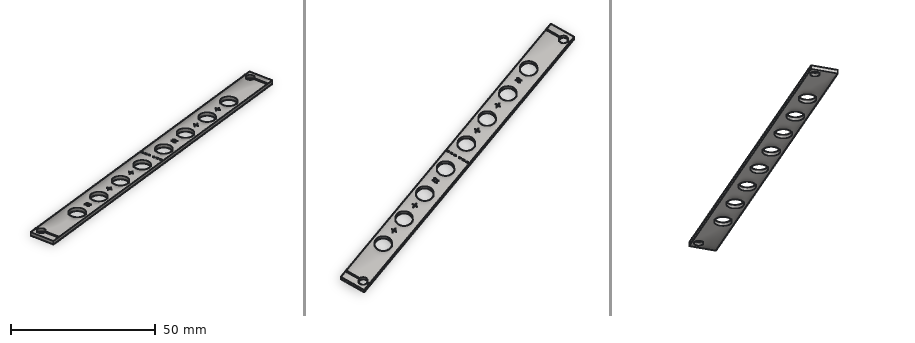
import cadquery as cq

width = 9.8
length = 128.5
total_height = 1.7
relief_height = 0.19
plate_thickness = total_height - relief_height

jack_count = 8
jack_diameter = 6.2
jack_x = 0.6
jack_row_length = 88.9
jack_pitch = jack_row_length / (jack_count - 1)
jack_spots = [(jack_x, jack_row_length / 2 - i * jack_pitch) for i in range(jack_count)]

mount_diameter = 3.2
mount_x = -2.5
mount_y = 61.3
mount_spots = [(mount_x, mount_y), (mount_x, -mount_y)]
rule_width = 0.4

divider_width = 0.4
dash_count_per_side = 3
first_dash_x = 0.96
dash_length = 0.8
dash_pitch = 2 * dash_length

sign_width = 1.9
stroke = 0.19
wave_rise = 0.1
wave_spacing = 1.0
sign_drop = 0.19
plus_gaps = [0, 1, 4, 5]
wave_gaps = [2, 6]


def raised_bar(x, y, size_x, size_y):
    """Rectangular relief standing on the top of the plate."""
    return (
        cq.Workplane("XY", origin=(x, y, 0))
        .rect(size_x, size_y)
        .extrude(total_height)
    )


def plus_sign(x, y):
    return raised_bar(x, y, sign_width, stroke).union(raised_bar(x, y, stroke, sign_width))


def wave_stroke(x, y):
    """One S-shaped stroke: a crest on the left half and a trough on the right half."""
    half = sign_width / 2
    quarter = sign_width / 4
    upper = stroke / 2
    lower = -stroke / 2
    return (
        cq.Workplane("XY", origin=(x, y, 0))
        .moveTo(-half, upper)
        .threePointArc((-quarter, upper + wave_rise), (0, upper))
        .threePointArc((quarter, upper - wave_rise), (half, upper))
        .lineTo(half, lower)
        .threePointArc((quarter, lower - wave_rise), (0, lower))
        .threePointArc((-quarter, lower + wave_rise), (-half, lower))
        .close()
        .extrude(total_height)
    )


def sign_y(gap):
    """Y of a sign, just below the middle between jack hole number `gap` and the next one."""
    return jack_row_length / 2 - (gap + 0.5) * jack_pitch - sign_drop


result = cq.Workplane("XY").rect(width, length).extrude(plate_thickness)

for _, y in mount_spots:
    result = result.union(raised_bar(0, y, width, rule_width))

for i in range(dash_count_per_side):
    dash_x = first_dash_x + i * dash_pitch
    for side in (-1, 1):
        result = result.union(raised_bar(side * dash_x, 0, dash_length, divider_width))

for gap in plus_gaps:
    result = result.union(plus_sign(jack_x, sign_y(gap)))
for gap in wave_gaps:
    for side in (-1, 1):
        y = sign_y(gap) + side * wave_spacing / 2
        result = result.union(wave_stroke(jack_x, y))

jack_holes = cq.Workplane("XY").pushPoints(jack_spots).circle(jack_diameter / 2).extrude(total_height)
mount_holes = cq.Workplane("XY").pushPoints(mount_spots).circle(mount_diameter / 2).extrude(total_height)
result = result.cut(jack_holes).cut(mount_holes)